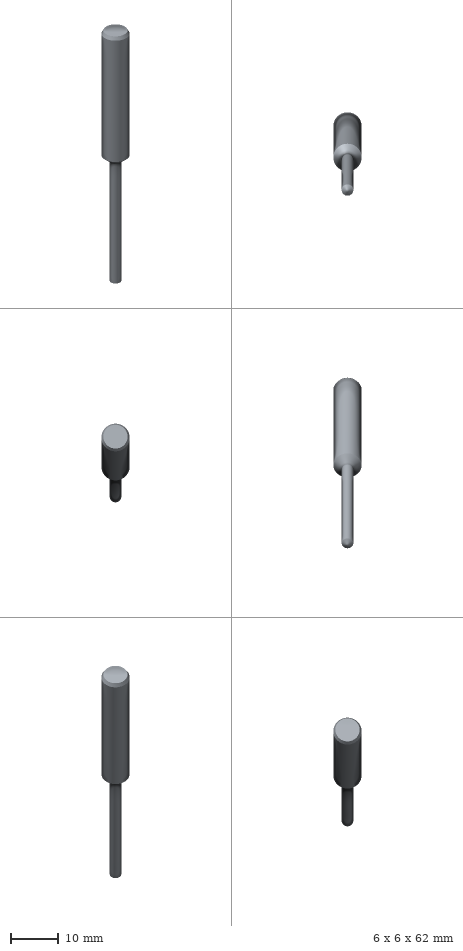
import cadquery as cq
import math

total_length = 62.0
shank_diameter = 6.0
cutter_diameter = 2.5
point_angle = 118.0

cutter_top = 30.0
shank_bottom = 31.5

chamfer_height = 0.8
chamfer_width = 0.45

shank_radius = shank_diameter / 2
cutter_radius = cutter_diameter / 2
point_height = cutter_radius / math.tan(math.radians(point_angle / 2))


def turned_body(profile):
    """Revolve a closed (radius, height) outline about the Z axis."""
    return cq.Workplane("XZ").polyline(profile).close().revolve(360, (0, 0, 0), (0, 1, 0))


cutter = turned_body([
    (0, 0),
    (cutter_radius, point_height),
    (cutter_radius, cutter_top),
    (0, cutter_top),
])

shank = turned_body([
    (0, cutter_top),
    (cutter_radius, cutter_top),
    (shank_radius, shank_bottom),
    (shank_radius, total_length - chamfer_height),
    (shank_radius - chamfer_width, total_length),
    (0, total_length),
])

result = cq.Compound.makeCompound([cutter.val(), shank.val()])